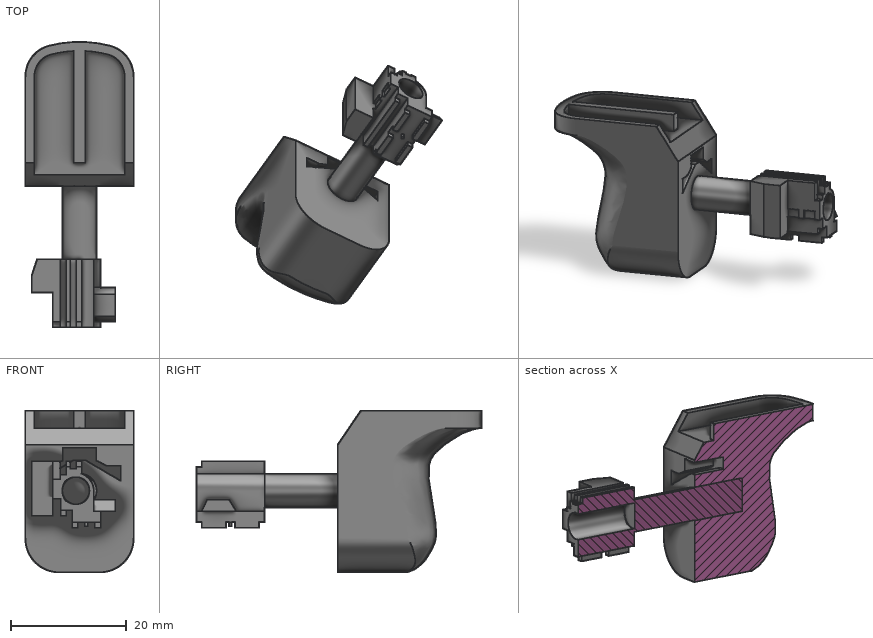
import cadquery as cq
import math

overall_length = 49.38

knob_width = 18.76
knob_height = 27.966
knob_depth = 24.95
knob_top = 13.82
half_width = knob_width / 2
knob_bottom = knob_top - knob_height
bottom_corner_radius = 5.9

rear_length = 6.0
end_arc_rise = 0.5

tray_depth = 3.0
tray_wall = 1.57
rib_width = 1.95
front_chamfer_depth = 4.0
front_chamfer_height = 5.9

grip_sections = [
    (tray_depth, knob_depth, rear_length),
    (4.76, 20.1, 6.3),
    (7.44, 16.77, 6.5),
    (10.55, 15.78, 6.3),
    (15.0, 16.28, 5.95),
    (19.73, 17.0, 5.2),
    (23.0, 16.75, 4.9),
    (25.6, 15.3, 4.9),
    (knob_height, 12.06, 4.9),
]

hollow_margin = 2.0

recess_depth = 6.0
recess_stem_half_width = 2.93
recess_top = 7.42
recess_shoulder_height = 5.2
recess_wing_inner = 4.72
recess_wing_outer = 7.12
recess_wing_top = 4.28
recess_wing_tip = 1.7
recess_apex_half_width = 0.95
recess_apex_height = 5.3

shaft_diameter = 5.91
shaft_length = 12.62
shaft_insertion = 10.0

key_rear = -shaft_length
key_length = overall_length - knob_depth - shaft_length
key_front = key_rear - key_length
barrel_x = -0.63
barrel_radius = 3.09
bore_diameter = 4.72

key_top = 5.12
left_wall_x = -4.64
left_groove_left = -3.35
left_groove_right = -2.32
left_groove_floor = 2.75
right_groove_left = -1.6
right_groove_right = -0.53
right_groove_floor = 3.8
top_right_x = 0.38

left_wall_bottom = -1.42
foot_left = -3.2
foot_right = left_groove_right
foot_bottom = -4.37
underside = -3.36
base_left = -1.27
base_right = 3.64
base_top = -3.52
base_bottom = -5.45

nose_length = 0.94
nose_top = 4.1
nose_left_top = 2.0

blade_left = -8.28
blade_length = 5.83
blade_chamfer_width = 0.94
blade_chamfer_length = 2.85
tab_right = 6.2
tab_top = -1.55
tab_length = 5.95
tab_rear_slope = 1.2

notch_top = 0.06
notch_depth = 0.45
notch_length = 2.05

pad_width = 1.0
pad_length = 4.2
pad_height = 1.0
pin_diameter = 0.5
pin_height = 0.72


def box(x_range, y_range, z_range):
    """Box that spans the given pairs of limits."""
    x, y, z = sorted(x_range), sorted(y_range), sorted(z_range)
    size = (x[1] - x[0], y[1] - y[0], z[1] - z[0])
    return cq.Workplane("XY").box(*size, centered=False).translate((x[0], y[0], z[0]))


def front_prism(outline, y_front, y_rear):
    """Prism whose XZ outline runs from y_front back to y_rear."""
    length = y_rear - y_front
    return cq.Workplane("XZ", origin=(0, y_rear, 0)).polyline(outline).close().extrude(length)


def rounded_rear(plan, reach, rounded_length, inset=0):
    """Draw the rounded rear on a workplane, from the right side to the left side.

    Returns the open outline and the (x, y) of its start on the right side.
    """
    outer_radius = rounded_length - end_arc_rise
    corner_radius = outer_radius - inset
    side = half_width - inset
    corner_x = half_width - outer_radius
    corner_y = reach - rounded_length
    end_radius = (corner_x**2 + rounded_length**2 - outer_radius**2) / (2 * end_arc_rise)
    centre_y = reach - end_radius
    angle = math.atan2(corner_y - centre_y, corner_x)
    join_x = corner_x + corner_radius * math.cos(angle)
    join_y = corner_y + corner_radius * math.sin(angle)
    mid_x = corner_x + corner_radius * math.cos(angle / 2)
    mid_y = corner_y + corner_radius * math.sin(angle / 2)
    outline = (
        plan.moveTo(side, corner_y)
        .threePointArc((mid_x, mid_y), (join_x, join_y))
        .threePointArc((0, reach - inset), (-join_x, join_y))
        .threePointArc((-mid_x, mid_y), (-side, corner_y))
    )
    return outline, side, corner_y


def plan_outline(plan, inset=0):
    """Closed outline of the knob's top, inset from its sides and rear."""
    outline, side, _ = rounded_rear(plan, knob_depth, rear_length, inset)
    return outline.lineTo(-side, 0).lineTo(side, 0).close()


def make_grip_hollow():
    """Space behind the finger grip, lofted downwards through its level sections."""
    sections = cq.Workplane("XY", origin=(0, 0, knob_top))
    outer_x = half_width + hollow_margin
    outer_y = knob_depth + hollow_margin
    depth = 0
    for drop, reach, rounded_length in grip_sections:
        level = sections.workplane(offset=depth - drop)
        outline, _, side_y = rounded_rear(level, reach, rounded_length)
        sections = (
            outline.lineTo(-outer_x, side_y)
            .lineTo(-outer_x, outer_y)
            .lineTo(outer_x, outer_y)
            .lineTo(outer_x, side_y)
            .close()
        )
        depth = drop
    return sections.loft()


def make_grip():
    """Lower part of the knob."""
    floor = knob_top - tray_depth
    block = box((-half_width, half_width), (0, knob_depth), (knob_bottom, floor))
    return block.cut(make_grip_hollow())


def add_tray(grip):
    """Top of the knob: a wall around the sides and rear, and the rib along the middle."""
    floor = knob_top - tray_depth
    plan = cq.Workplane("XY", origin=(0, 0, floor))
    top_plate = plan_outline(plan).extrude(tray_depth)
    opening = plan_outline(plan, tray_wall).extrude(tray_depth)
    rib_end = knob_depth - tray_wall / 2
    rib = box((-rib_width / 2, rib_width / 2), (front_chamfer_depth, rib_end), (floor, knob_top))
    return grip.union(top_plate).cut(opening).union(rib)


def round_bottom_corners(knob):
    """Round the two lower side edges over the knob's full depth."""
    centre_z = knob_bottom + bottom_corner_radius
    for side in (-1, 1):
        centre_x = side * (half_width - bottom_corner_radius)
        corner = box((centre_x, side * half_width), (0, knob_depth), (knob_bottom, centre_z))
        round_part = (
            cq.Workplane("XZ", origin=(centre_x, knob_depth, centre_z))
            .circle(bottom_corner_radius)
            .extrude(knob_depth)
        )
        knob = knob.cut(corner.cut(round_part))
    return knob


def make_front_chamfer():
    """Wedge cut off the top front edge."""
    outline = [(0, knob_top - front_chamfer_height), (front_chamfer_depth, knob_top), (0, knob_top)]
    return cq.Workplane("YZ").polyline(outline).close().extrude(half_width, both=True)


def make_recess():
    """Arrow-shaped recess, symmetrical about X = 0."""
    right_side = [
        (recess_stem_half_width, recess_top),
        (recess_stem_half_width, recess_shoulder_height),
        (recess_wing_inner, recess_wing_top),
        (recess_wing_outer, recess_wing_top),
        (recess_wing_outer, recess_wing_tip),
        (recess_apex_half_width, recess_apex_height),
    ]
    left_side = [(-x, z) for x, z in reversed(right_side)]
    return front_prism(right_side + left_side, 0, recess_depth)


def make_shaft():
    """Shaft from its end inside the knob to the rear of the key."""
    return (
        cq.Workplane("XZ", origin=(0, shaft_insertion, 0))
        .circle(shaft_diameter / 2)
        .extrude(shaft_insertion + shaft_length)
    )


def make_knob():
    """Knob with a blind hole that fits the shaft."""
    knob = round_bottom_corners(add_tray(make_grip()))
    return knob.cut(make_front_chamfer()).cut(make_recess()).cut(make_shaft())


def make_key_body():
    """Constant section of the key, along its full length."""
    barrel_top = math.sqrt(barrel_radius**2 - (top_right_x - barrel_x) ** 2)
    barrel_right = barrel_x + barrel_radius
    arc_middle_offset = barrel_radius / math.sqrt(2)
    return (
        cq.Workplane("XZ", origin=(0, key_rear, 0))
        .moveTo(left_wall_x, key_top)
        .lineTo(left_groove_left, key_top)
        .lineTo(left_groove_left, left_groove_floor)
        .lineTo(left_groove_right, left_groove_floor)
        .lineTo(left_groove_right, key_top)
        .lineTo(right_groove_left, key_top)
        .lineTo(right_groove_left, right_groove_floor)
        .lineTo(right_groove_right, right_groove_floor)
        .lineTo(right_groove_right, key_top)
        .lineTo(top_right_x, key_top)
        .lineTo(top_right_x, barrel_top)
        .threePointArc((barrel_x + arc_middle_offset, arc_middle_offset), (barrel_right, 0))
        .lineTo(barrel_right, base_top)
        .lineTo(base_right, base_top)
        .lineTo(base_right, base_bottom)
        .lineTo(base_left, base_bottom)
        .lineTo(base_left, underside)
        .lineTo(foot_right, underside)
        .lineTo(foot_right, foot_bottom)
        .lineTo(foot_left, foot_bottom)
        .lineTo(foot_left, left_wall_bottom)
        .lineTo(left_wall_x, left_wall_bottom)
        .close()
        .extrude(key_length)
    )


def make_blade():
    """Blade at the rear left, with its outer rear edge chamfered."""
    blade_front = key_rear - blade_length
    outline = [
        (left_wall_x, key_rear),
        (blade_left + blade_chamfer_width, key_rear),
        (blade_left, key_rear - blade_chamfer_length),
        (blade_left, blade_front),
        (left_wall_x, blade_front),
    ]
    height = key_top - foot_bottom
    return cq.Workplane("XY", origin=(0, 0, foot_bottom)).polyline(outline).close().extrude(height)


def make_tab():
    """Tab on the right, with sloped front and rear ends."""
    tab_left = barrel_x + barrel_radius
    tab_front = key_front + nose_length
    outline = [
        (tab_front, base_top),
        (tab_front + nose_length, tab_top),
        (tab_front + tab_length - tab_rear_slope, tab_top),
        (tab_front + tab_length, base_top),
    ]
    width = tab_right - tab_left
    return cq.Workplane("YZ", origin=(tab_left, 0, 0)).polyline(outline).close().extrude(width)


def cut_nose(key):
    """Step the front end back above and below the nose."""
    step = (key_front, key_front + nose_length)
    key = key.cut(box((left_wall_x, top_right_x), step, (nose_top, key_top)))
    key = key.cut(box((left_wall_x, left_groove_left), step, (nose_left_top, key_top)))
    return key.cut(box((foot_left, foot_right), step, (foot_bottom, underside)))


def cut_notches(key):
    """Two notches along the lower edge of the left wall."""
    notch_x = (left_wall_x, left_wall_x + notch_depth)
    rear_notch_front = key_rear - blade_length - notch_length
    front_notch_front = key_front + nose_length
    for y in (rear_notch_front, front_notch_front):
        key = key.cut(box(notch_x, (y, y + notch_length), (left_wall_bottom, notch_top)))
    return key


def add_pads(key):
    """Four pads at the corners of the base, with a pin in the middle."""
    pad_z = (base_bottom - pad_height, base_bottom)
    for x in (base_left, base_right - pad_width):
        for y in (key_front + nose_length, key_rear - nose_length - pad_length):
            key = key.union(box((x, x + pad_width), (y, y + pad_length), pad_z))
    pin_centre = ((base_left + base_right) / 2, (key_front + key_rear) / 2, base_bottom)
    pin = cq.Workplane("XY", origin=pin_centre).circle(pin_diameter / 2).extrude(-pin_height)
    return key.union(pin)


def make_key():
    """Key and its shaft as one solid; the bore ends at the shaft."""
    key = cut_notches(cut_nose(make_key_body()))
    key = add_pads(key.union(make_blade()).union(make_tab()))
    bore = (
        cq.Workplane("XZ", origin=(barrel_x, key_rear, 0))
        .circle(bore_diameter / 2)
        .extrude(key_length)
    )
    return key.cut(bore).union(make_shaft())


knob = make_knob()
key = make_key()
result = cq.Compound.makeCompound([knob.val(), key.val()])